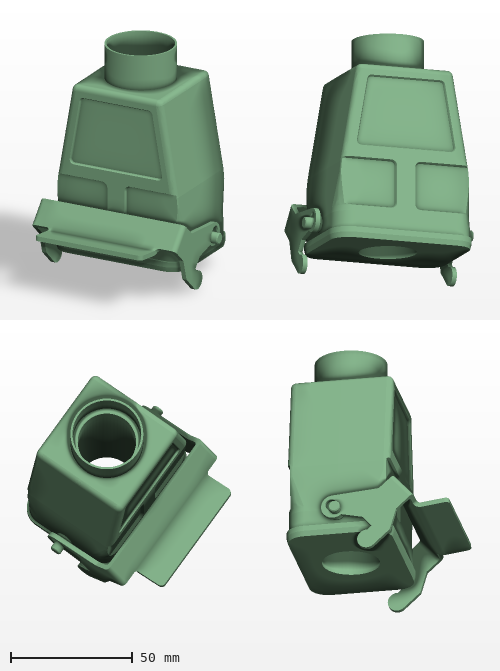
import cadquery as cq
import math

BODY_TOP = 74.0
BODY_HALF_Y = 21.5
SIDE_CREASE = 0.1

BASE_HALF_X = 30.0
BASE_RADIUS = 7.5
UPPER_RADIUS = 2.5
KNEE_Z = 32.5
KNEE_HALF_X = 28.0
SLOPE_START_Z = 11.4
BLEND_BOTTOM_Z = 13.8
BLEND_TOP_Z = 28.0
TOP_HALF_X = 20.85
TOP_EDGE_RADIUS = 2.3

RIM_HALF_X = 31.0
RIM_HALF_Y = 22.5
RIM_RADIUS = 8.5
RIM_HEIGHT = 4.5
RIM_TAPER_HEIGHT = 2.2
RIM_TAPER = 0.6

NECK_DIAMETER = 30.0
NECK_HEIGHT = 15.0
NECK_BORE = 28.3
NECK_BORE_DEPTH = 13.7
CABLE_HOLE = 24.0

WINDOW_TOP = 69.3
WINDOW_BOTTOM = 39.3
WINDOW_TOP_HALF_X = 16.8
WINDOW_BOTTOM_HALF_X = 22.0
WINDOW_DEPTH = 1.0
WINDOW_RADIUS = 2.0
POCKET_TOP = 34.2
POCKET_BOTTOM = BLEND_BOTTOM_Z
POCKET_INNER_X = 4.0
POCKET_DEPTH = 1.35
POCKET_RADIUS = 2.5
RECESS_WALL_RUN = 0.6

PIN_Z = 9.7
PIN_END_X = 37.0
PIN_DIAMETER = 4.8
PIN_CHAMFER = 0.4
BOSS_DIAMETER = 7.0
BOSS_END_X = 30.7
BOSS_CHAMFER = (BOSS_DIAMETER - PIN_DIAMETER) / 2
PIN_EMBED = 1.0
PIN_ROOT_X = BASE_HALF_X - PIN_EMBED

LEVER_ANGLE = 42.3
LEVER_HALF_X = 33.8
SHEET = 2.0
BEND_OUTER_RADIUS = 2.0
BEND_INNER_RADIUS = 1.5
PLATE_U = 27.0
PLATE_TOP = -6.5
PLATE_BOTTOM = -18.6

SLOT_TRAVEL = 2.7
SLOT_WIDTH = PIN_DIAMETER
EYE_RADIUS = 5.0
EYE_V = 1.5
ARM_TOP_U = 18.7
ARM_TOP_RADIUS = 1.5
HOOK_V = -19.5
HOOK_RADIUS = 4.0
HOOK_TIP_V = -16.7
NOTCH_U = 5.3
NOTCH_TOP_V = -11.0
HEEL_LOW_U = 9.4
HEEL_HIGH_U = 17.5

FLAP_HALF_X = 25.0
FLAP_ROOT_V = -16.0
FLAP_ANGLE = 35.0
FLAP_START_V = -19.6
FLAP_LENGTH = 12.58
FLAP_CORNER_RADIUS = 2.0
FLAP_BEND_RADIUS = 2.2
FLAP_RELIEF_RADIUS = 1.5


def side_half_width(z):
    """Half width of the hood's side faces at a height."""
    if z <= SLOPE_START_Z:
        return BASE_HALF_X
    if z <= KNEE_Z:
        share = (z - SLOPE_START_Z) / (KNEE_Z - SLOPE_START_Z)
        return BASE_HALF_X + share * (KNEE_HALF_X - BASE_HALF_X)
    share = (z - KNEE_Z) / (BODY_TOP - KNEE_Z)
    return KNEE_HALF_X + share * (TOP_HALF_X - KNEE_HALF_X)


def hood_section(z, radius):
    """Six-sided outline with a slight ridge on each side and four round corners."""
    half_x = side_half_width(z)
    ridge_x = half_x + SIDE_CREASE
    corners = [
        (ridge_x, 0),
        (half_x, BODY_HALF_Y),
        (-half_x, BODY_HALF_Y),
        (-ridge_x, 0),
        (-half_x, -BODY_HALF_Y),
        (half_x, -BODY_HALF_Y),
        (ridge_x, 0),
    ]
    outline = cq.Sketch().polygon(corners).vertices(">Y or <Y").fillet(radius)
    return outline.moved(cq.Location(cq.Vector(0, 0, z)))


def hood_body():
    sections = [
        hood_section(RIM_TAPER_HEIGHT, BASE_RADIUS),
        hood_section(SLOPE_START_Z, BASE_RADIUS),
        hood_section(BLEND_BOTTOM_Z, BASE_RADIUS),
        hood_section(BLEND_TOP_Z, UPPER_RADIUS),
        hood_section(KNEE_Z, UPPER_RADIUS),
        hood_section(BODY_TOP, UPPER_RADIUS),
    ]
    body = cq.Workplane("XY").placeSketch(*sections).loft(ruled=True)
    return body.faces(">Z").edges().fillet(TOP_EDGE_RADIUS)


def rim_section(inset, z):
    size_x = 2 * (RIM_HALF_X - inset)
    size_y = 2 * (RIM_HALF_Y - inset)
    outline = cq.Sketch().rect(size_x, size_y).vertices().fillet(RIM_RADIUS - inset)
    return outline.moved(cq.Location(cq.Vector(0, 0, z)))


def rim():
    sections = [
        rim_section(RIM_TAPER, 0),
        rim_section(0, RIM_TAPER_HEIGHT),
        rim_section(0, RIM_HEIGHT),
    ]
    return cq.Workplane("XY").placeSketch(*sections).loft(ruled=True)


def neck():
    return cq.Workplane("XY", origin=(0, 0, BODY_TOP)).circle(NECK_DIAMETER / 2).extrude(NECK_HEIGHT)


def recess(corners, radius, depth):
    """Cutter with sloped walls that sinks into the front face."""
    outline = cq.Sketch().polygon(corners + corners[:1]).vertices().fillet(radius)
    slope = math.degrees(math.atan2(RECESS_WALL_RUN, depth))
    front_face = cq.Workplane("XZ", origin=(0, -BODY_HALF_Y, 0))
    return front_face.placeSketch(outline).extrude(-depth, taper=slope)


def face_recesses():
    """Window and two corner pockets for the front face."""
    window = recess(
        [
            (-WINDOW_BOTTOM_HALF_X, WINDOW_BOTTOM),
            (WINDOW_BOTTOM_HALF_X, WINDOW_BOTTOM),
            (WINDOW_TOP_HALF_X, WINDOW_TOP),
            (-WINDOW_TOP_HALF_X, WINDOW_TOP),
        ],
        WINDOW_RADIUS,
        WINDOW_DEPTH,
    )
    open_end_x = RIM_HALF_X + 2 * POCKET_RADIUS
    pocket = recess(
        [
            (POCKET_INNER_X, POCKET_BOTTOM),
            (open_end_x, POCKET_BOTTOM),
            (open_end_x, POCKET_TOP),
            (POCKET_INNER_X, POCKET_TOP),
        ],
        POCKET_RADIUS,
        POCKET_DEPTH,
    )
    return [window, pocket, pocket.mirror("YZ")]


def pivot_pin():
    """Pin on the +X side with the coned boss at its root."""
    half_outline = [
        (PIN_ROOT_X, 0),
        (PIN_ROOT_X, BOSS_DIAMETER / 2),
        (BOSS_END_X, BOSS_DIAMETER / 2),
        (BOSS_END_X + BOSS_CHAMFER, PIN_DIAMETER / 2),
        (PIN_END_X - PIN_CHAMFER, PIN_DIAMETER / 2),
        (PIN_END_X, PIN_DIAMETER / 2 - PIN_CHAMFER),
        (PIN_END_X, 0),
    ]
    pin = cq.Workplane("XY").polyline(half_outline).close().revolve(360, (0, 0, 0), (1, 0, 0))
    return pin.translate((0, 0, PIN_Z))


def make_hood():
    hood = hood_body()
    for cutter in face_recesses():
        hood = hood.cut(cutter).cut(cutter.mirror("XZ"))
    pin = pivot_pin()
    hood = hood.union(rim()).union(neck()).union(pin).union(pin.mirror("YZ"))

    neck_top = cq.Workplane("XY", origin=(0, 0, BODY_TOP + NECK_HEIGHT))
    hood = hood.cut(neck_top.circle(NECK_BORE / 2).extrude(-NECK_BORE_DEPTH))
    return hood.cut(neck_top.circle(CABLE_HOLE / 2).extrude(-BODY_TOP - NECK_HEIGHT))


def side_plane(x):
    """The lever's upright side plane: local x is U (towards -Y), local y is V (towards +Z)."""
    return cq.Workplane(cq.Plane(origin=(x, 0, 0), xDir=(0, -1, 0), normal=(-1, 0, 0)))


def edges_near(u, v):
    """Selector for the edges centred close to a point of the side outline."""
    reach = 0.1
    low_corner = (-LEVER_HALF_X, -u - reach, v - reach)
    high_corner = (LEVER_HALF_X, -u + reach, v + reach)
    return cq.selectors.BoxSelector(low_corner, high_corner)


def bent_channel():
    """U-shaped sheet seen from above: front plate and two side legs with round bends."""
    rear = -EYE_RADIUS
    inner_half_x = LEVER_HALF_X - SHEET
    low = HOOK_V - HOOK_RADIUS
    height = EYE_V + EYE_RADIUS - low

    def block(half_x, front, bend_radius):
        base = cq.Workplane("XY", origin=(0, 0, low))
        solid = base.center(0, -(front + rear) / 2).rect(2 * half_x, front - rear).extrude(height)
        return solid.edges("|Z and <Y").fillet(bend_radius)

    outside = block(LEVER_HALF_X, PLATE_U, BEND_OUTER_RADIUS)
    inside = block(inner_half_x, PLATE_U - SHEET, BEND_INNER_RADIUS)
    return outside.cut(inside)


def lever_silhouette():
    """Side outline of eye, arm, plate and hook, as wide as the whole lever."""
    arm_rise = PLATE_TOP - EYE_V
    arm_reach = math.hypot(ARM_TOP_U, arm_rise)
    tangent_angle = math.atan2(arm_rise, ARM_TOP_U) + math.acos(EYE_RADIUS / arm_reach)
    tangent = (EYE_RADIUS * math.cos(tangent_angle), EYE_V + EYE_RADIUS * math.sin(tangent_angle))
    hook_tip_u = math.sqrt(HOOK_RADIUS**2 - (HOOK_TIP_V - HOOK_V) ** 2)
    hook_low = HOOK_V - HOOK_RADIUS

    outline = (
        side_plane(LEVER_HALF_X)
        .moveTo(*tangent)
        .lineTo(ARM_TOP_U, PLATE_TOP)
        .lineTo(PLATE_U, PLATE_TOP)
        .lineTo(PLATE_U, PLATE_BOTTOM)
        .lineTo(HEEL_HIGH_U, PLATE_BOTTOM)
        .lineTo(HEEL_LOW_U, hook_low)
        .lineTo(0, hook_low)
        .threePointArc((-HOOK_RADIUS, HOOK_V), (hook_tip_u, HOOK_TIP_V))
        .lineTo(NOTCH_U, HOOK_TIP_V)
        .lineTo(NOTCH_U, NOTCH_TOP_V)
        .lineTo(0, EYE_V - EYE_RADIUS)
        .threePointArc((-EYE_RADIUS, EYE_V), tangent)
        .close()
        .extrude(2 * LEVER_HALF_X)
    )
    arm_corner = edges_near(ARM_TOP_U, PLATE_TOP)
    return outline.edges(arm_corner).fillet(ARM_TOP_RADIUS)


def flap_side_notch():
    """Cutter on the flap's +X side that leaves a round corner under the plate's lower edge."""
    outer_x = LEVER_HALF_X
    return (
        cq.Workplane("XZ")
        .moveTo(outer_x, PLATE_BOTTOM)
        .lineTo(FLAP_HALF_X + FLAP_RELIEF_RADIUS, PLATE_BOTTOM)
        .radiusArc((FLAP_HALF_X, PLATE_BOTTOM - FLAP_RELIEF_RADIUS), -FLAP_RELIEF_RADIUS)
        .lineTo(FLAP_HALF_X, PLATE_BOTTOM - 2 * FLAP_LENGTH)
        .lineTo(outer_x, PLATE_BOTTOM - 2 * FLAP_LENGTH)
        .close()
        .extrude(PLATE_U + FLAP_LENGTH)
    )


def flap():
    """Thumb flap bent outward from the bottom of the plate."""
    angle = math.radians(FLAP_ANGLE)
    along = (math.cos(angle), -math.sin(angle))
    root_half_x = FLAP_HALF_X + FLAP_RELIEF_RADIUS
    mitre = SHEET * math.tan((math.pi / 2 - angle) / 2)
    top_end = (PLATE_U + FLAP_LENGTH * along[0], FLAP_START_V + FLAP_LENGTH * along[1])
    low_end = (top_end[0] + SHEET * along[1], top_end[1] - SHEET * along[0])
    strip = (
        side_plane(root_half_x)
        .polyline(
            [
                (PLATE_U - SHEET, FLAP_ROOT_V),
                (PLATE_U, FLAP_ROOT_V),
                (PLATE_U, FLAP_START_V),
                top_end,
                low_end,
                (PLATE_U - SHEET, FLAP_START_V - mitre),
            ]
        )
        .close()
        .extrude(2 * root_half_x)
    )
    upper_bend = edges_near(PLATE_U, FLAP_START_V)
    lower_bend = edges_near(PLATE_U - SHEET, FLAP_START_V - mitre)
    strip = strip.edges(upper_bend).fillet(FLAP_BEND_RADIUS)
    strip = strip.edges(lower_bend).fillet(FLAP_BEND_RADIUS + SHEET)

    notch = flap_side_notch()
    strip = strip.cut(notch).cut(notch.mirror("YZ"))
    return strip.faces("<Y").edges("not |X").fillet(FLAP_CORNER_RADIUS)


def make_lever():
    lever = bent_channel().intersect(lever_silhouette()).union(flap())
    slot_length = SLOT_TRAVEL + SLOT_WIDTH
    slot_outline = side_plane(LEVER_HALF_X).center(0, SLOT_TRAVEL / 2).slot2D(slot_length, SLOT_WIDTH, 90)
    lever = lever.cut(slot_outline.extrude(2 * LEVER_HALF_X))
    opened = lever.rotate((0, 0, 0), (1, 0, 0), -LEVER_ANGLE)
    return opened.translate((0, 0, PIN_Z))


hood = make_hood()
lever = make_lever()

result = cq.Compound.makeCompound([hood.val(), lever.val()])